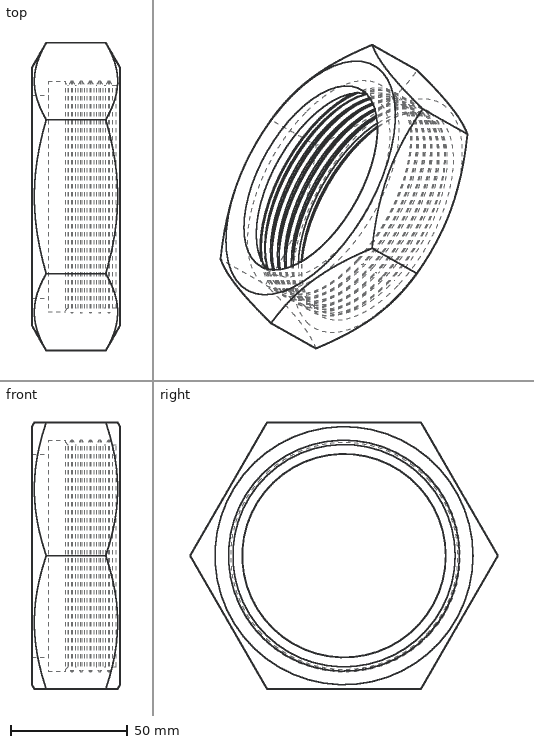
import cadquery as cq
import math

ACROSS_CORNERS = 132.4
THICKNESS = 38.0
FACE_RADIUS = 55.5
CHAMFER_ANGLE = 30.0

LIP_RADIUS = 43.7
LIP_LENGTH = 7.0

PITCH = 4.0
GROOVE_COUNT = 5
CREST_RADIUS = 47.8
THREAD_DEPTH = 2.1
FLANK_ANGLE = 30.0
CREST_WIDTH = PITCH / 4
FIRST_CREST_WIDTH = 0.3
LAST_CREST_WIDTH = 1.6
EXIT_CHAMFER = 1.9
ROOT_RADIUS = CREST_RADIUS + THREAD_DEPTH

RELIEF_STEP = 0.8
LEAD_IN = 1.0
RELIEF_RADIUS = CREST_RADIUS + LEAD_IN + RELIEF_STEP

FRONT = -THICKNESS / 2
BACK = THICKNESS / 2
LIP_END = FRONT + LIP_LENGTH
LAST_CREST_END = BACK - EXIT_CHAMFER
LAST_GROOVE_END = LAST_CREST_END - LAST_CREST_WIDTH
FIRST_GROOVE = LAST_GROOVE_END + CREST_WIDTH - GROOVE_COUNT * PITCH
FIRST_CREST_START = FIRST_GROOVE - FIRST_CREST_WIDTH
RELIEF_END = FIRST_CREST_START - LEAD_IN


def hexagon():
    """Hexagonal prism centred on the origin, axis along X."""
    return (
        cq.Workplane("YZ")
        .polygon(6, ACROSS_CORNERS)
        .extrude(THICKNESS / 2, both=True)
    )


def revolve_about_x(points):
    """Solid of revolution about X from (x, radius) points."""
    return cq.Workplane("XY").polyline(points).close().revolve(360, (0, 0, 0), (1, 0, 0))


def corner_chamfer_envelope():
    """Double cone that trims the hexagon corners at both ends."""
    corner_radius = ACROSS_CORNERS / 2
    drop = (corner_radius - FACE_RADIUS) * math.tan(math.radians(CHAMFER_ANGLE))
    return revolve_about_x([
        (FRONT, 0),
        (FRONT, FACE_RADIUS),
        (FRONT + drop, corner_radius),
        (BACK - drop, corner_radius),
        (BACK, FACE_RADIUS),
        (BACK, 0),
    ])


def bore():
    """Lip hole, relief recess and threaded hole as one revolved cutter."""
    flank_run = THREAD_DEPTH * math.tan(math.radians(FLANK_ANGLE))
    points = [
        (FRONT, 0),
        (FRONT, LIP_RADIUS),
        (LIP_END, LIP_RADIUS),
        (LIP_END, RELIEF_RADIUS),
        (RELIEF_END, RELIEF_RADIUS),
        (RELIEF_END, CREST_RADIUS + LEAD_IN),
        (FIRST_CREST_START, CREST_RADIUS),
    ]
    for i in range(GROOVE_COUNT):
        start = FIRST_GROOVE + i * PITCH
        end = start + PITCH - CREST_WIDTH
        points += [
            (start, CREST_RADIUS),
            (start + flank_run, ROOT_RADIUS),
            (end - flank_run, ROOT_RADIUS),
            (end, CREST_RADIUS),
        ]
    points += [
        (LAST_CREST_END, CREST_RADIUS),
        (BACK, CREST_RADIUS + EXIT_CHAMFER),
        (BACK, 0),
    ]
    return revolve_about_x(points)


result = hexagon().intersect(corner_chamfer_envelope()).cut(bore())